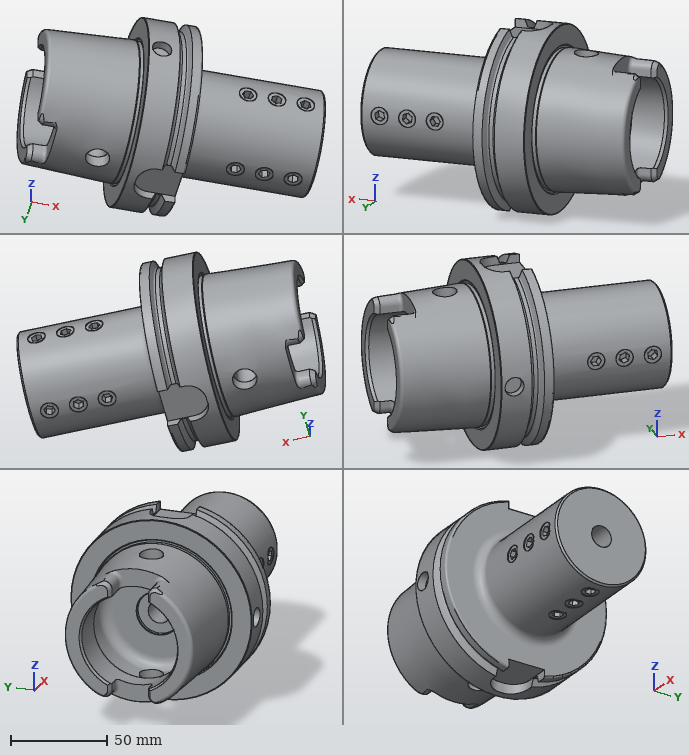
import cadquery as cq
import math


taper_length = 49.9
taper_root_radius = 37.8
taper_slope = 1 / 20
taper_rim_fillet = 2.0
relief_length = 2.5
relief_land = 0.5
relief_radius = 37.5
relief_outer_radius = 39.2
relief_depth = 0.6

flange_radius = 50.0
flange_width = 29.0
flange_front_chamfer = 0.4
flange_back_fillet = 1.0
groove_start = 16.7
groove_end = 23.5
groove_bottom_radius = 46.0
groove_wall_run = 1.65
groove_fillet = 0.9

nose_radius = 28.2
nose_length = 100.0
nose_chamfer = 1.0
neck_fillet = 5.0

bore_radius = 26.4
bore_mouth_chamfer_width = 0.9
bore_mouth_chamfer_depth = 1.7
bore_land_depth = 19.8
undercut_radius = 30.5
undercut_fillet = 6.0
bore_floor_depth = 44.8
centre_recess_radius = 12.0
centre_recess_chamfer = 0.3
centre_recess_depth = 2.0
centre_hole_radius = 6.1

drive_slot_half_width = 10.0
drive_slot_straight_height = 28.0
drive_slot_flare_radius = 4.4
drive_slot_flare_sweep = 110.0
drive_slot_flare_reach = 7.0
drive_slot_floor_fillet = 1.9
drive_slot_mouth_chamfer_width = 1.7
drive_slot_mouth_chamfer_depth = 2.7
drive_slot_inner_height = 15.0
upper_drive_slot_depth = 14.9
lower_drive_slot_depth = 10.0

cross_hole_radius = 6.3
cross_hole_x = -15.1

key_slot_width = 22.0
key_slot_start = 5.0
key_slot_corner_radius = 9.5
key_slot_floor_height = 44.0
side_hole_radius = 5.1
side_hole_x = 7.2
side_hole_depth = 5.0

screw_radius = 4.65
screw_length = 12.0
screw_recess = 0.6
screw_end_offset = 10.7
screw_pitch = 15.4
screw_count = 3
socket_across_flats = 5.0
socket_depth = 5.0
first_socket_turn = 30.0
socket_turn_step = 20.0
screw_row_angles = (0, 90, 180)

taper_end_x = -taper_length


def revolve_about_x(profile):
    return profile.close().revolve(360, (0, 0, 0), (1, 0, 0))


def ring_at(x):
    """Selects the circular edges that lie in the plane across the axis at x."""
    reach = 0.01
    span = 2 * flange_radius
    return cq.selectors.BoxSelector((x - reach, -span, -span), (x + reach, span, span), boundingbox=True)


def outer_shape():
    small_end_radius = taper_root_radius - (taper_length - relief_length) * taper_slope
    groove_bottom_start = groove_start + groove_wall_run
    groove_bottom_end = groove_end - groove_wall_run
    body = revolve_about_x(
        cq.Workplane("XY")
        .moveTo(taper_end_x, 0)
        .lineTo(taper_end_x, small_end_radius)
        .lineTo(-relief_length, taper_root_radius)
        .lineTo(-relief_length + relief_land, taper_root_radius)
        .lineTo(-relief_length + relief_land + relief_depth, relief_radius)
        .lineTo(relief_depth, relief_radius)
        .lineTo(relief_depth, relief_outer_radius - relief_depth)
        .lineTo(0, relief_outer_radius)
        .lineTo(0, flange_radius - flange_front_chamfer)
        .lineTo(flange_front_chamfer, flange_radius)
        .lineTo(groove_start, flange_radius)
        .lineTo(groove_bottom_start, groove_bottom_radius)
        .lineTo(groove_bottom_end, groove_bottom_radius)
        .lineTo(groove_end, flange_radius)
        .lineTo(flange_width, flange_radius)
        .lineTo(flange_width, nose_radius)
        .lineTo(nose_length - nose_chamfer, nose_radius)
        .lineTo(nose_length, nose_radius - nose_chamfer)
        .lineTo(nose_length, 0)
    )
    back_rim = cq.selectors.RadiusNthSelector(-1)
    neck_corner = cq.selectors.RadiusNthSelector(0)
    body = body.edges(ring_at(taper_end_x)).fillet(taper_rim_fillet)
    body = body.edges(ring_at(groove_bottom_start)).fillet(groove_fillet)
    body = body.edges(ring_at(groove_bottom_end)).fillet(groove_fillet)
    body = body.edges(ring_at(flange_width)).edges(back_rim).fillet(flange_back_fillet)
    return body.edges(ring_at(flange_width)).edges(neck_corner).fillet(neck_fillet)


def bore():
    land_x = taper_end_x + bore_land_depth
    floor_x = taper_end_x + bore_floor_depth
    recess_x = floor_x + centre_recess_depth
    return revolve_about_x(
        cq.Workplane("XY")
        .moveTo(taper_end_x, 0)
        .lineTo(taper_end_x, bore_radius + bore_mouth_chamfer_width)
        .lineTo(taper_end_x + bore_mouth_chamfer_depth, bore_radius)
        .lineTo(land_x, bore_radius)
        .lineTo(land_x, undercut_radius)
        .lineTo(floor_x - undercut_fillet, undercut_radius)
        .radiusArc((floor_x, undercut_radius - undercut_fillet), undercut_fillet)
        .lineTo(floor_x, centre_recess_radius)
        .lineTo(floor_x + centre_recess_chamfer, centre_recess_radius - centre_recess_chamfer)
        .lineTo(recess_x, centre_recess_radius - centre_recess_chamfer)
        .lineTo(recess_x, centre_hole_radius)
        .lineTo(nose_length, centre_hole_radius)
        .lineTo(nose_length, 0)
    )


def drive_slot(depth):
    """Cutter for the +Z drive slot: flaring walls, rounded floor edges and a bevelled mouth."""
    flare = drive_slot_flare_radius
    flare_y = drive_slot_half_width + flare
    flare_z = drive_slot_straight_height

    def flare_point(turn):
        angle = math.radians(turn)
        return flare_y - flare * math.cos(angle), flare_z + flare * math.sin(angle)

    flare_middle = flare_point(drive_slot_flare_sweep / 2)
    flare_end = flare_point(drive_slot_flare_sweep)
    run_direction = math.radians(drive_slot_flare_sweep - 90)
    edge_y = flare_end[0] + drive_slot_flare_reach * math.cos(run_direction)
    edge_z = flare_end[1] - drive_slot_flare_reach * math.sin(run_direction)
    mouth_plane = cq.Workplane("YZ", origin=(taper_end_x, 0, 0))

    half = (
        mouth_plane
        .moveTo(0, drive_slot_inner_height)
        .lineTo(drive_slot_half_width, drive_slot_inner_height)
        .lineTo(drive_slot_half_width, flare_z)
        .threePointArc(flare_middle, flare_end)
        .lineTo(edge_y, edge_z)
        .lineTo(edge_y, flange_radius)
        .lineTo(0, flange_radius)
        .close()
        .extrude(depth)
    )
    slot = half.union(half.mirror("XZ")).clean()
    slot = slot.faces(">X").edges().fillet(drive_slot_floor_fillet)
    plate_size = 4 * flange_radius
    plate = mouth_plane.rect(plate_size, plate_size).extrude(-drive_slot_mouth_chamfer_depth)
    mouth_edges = slot.union(plate).edges(ring_at(taper_end_x))
    return mouth_edges.chamfer(drive_slot_mouth_chamfer_width, drive_slot_mouth_chamfer_depth)


def cross_hole():
    return (
        cq.Workplane("XY", origin=(cross_hole_x, 0, 0))
        .circle(cross_hole_radius)
        .extrude(flange_radius, both=True)
    )


def key_slot():
    """Cutter for the +Z key slot: rounded front corners, open towards the nose."""
    slot_length = flange_width - key_slot_start
    return (
        cq.Workplane("XY", origin=(key_slot_start + slot_length / 2, 0, key_slot_floor_height))
        .rect(slot_length, key_slot_width)
        .extrude(flange_radius - key_slot_floor_height)
        .edges("|Z and <X")
        .fillet(key_slot_corner_radius)
    )


def side_hole():
    return (
        cq.Workplane("XZ", origin=(side_hole_x, -flange_radius + side_hole_depth, 0))
        .circle(side_hole_radius)
        .extrude(flange_radius)
    )


def screw_rod(number, outer_radius):
    """Plain round rod of one screw in the -Y row, from the screw's inner end out to outer_radius."""
    screw_x = nose_length - screw_end_offset - (screw_count - 1 - number) * screw_pitch
    inner_radius = nose_radius - screw_recess - screw_length
    return (
        cq.Workplane("XZ", origin=(screw_x, -inner_radius, 0))
        .circle(screw_radius)
        .extrude(outer_radius - inner_radius)
    )


def set_screw(number):
    rod = screw_rod(number, nose_radius - screw_recess)
    socket = (
        rod.faces("<Y")
        .workplane(centerOption="CenterOfBoundBox")
        .transformed(rotate=(0, 0, first_socket_turn + number * socket_turn_step))
        .polygon(6, socket_across_flats, circumscribed=True)
        .extrude(-socket_depth, combine=False)
    )
    return rod.cut(socket)


def turned(shape, angle):
    return shape.rotate((0, 0, 0), (1, 0, 0), angle)


holder = outer_shape().cut(bore())
holder = holder.cut(drive_slot(upper_drive_slot_depth))
holder = holder.cut(turned(drive_slot(lower_drive_slot_depth), 180))
holder = holder.cut(cross_hole())
for slot_angle in (0, 180):
    holder = holder.cut(turned(key_slot(), slot_angle))
holder = holder.cut(side_hole())

screws = []
for row_angle in screw_row_angles:
    for number in range(screw_count):
        holder = holder.cut(turned(screw_rod(number, flange_radius), row_angle))
        screws.append(turned(set_screw(number), row_angle).val())

result = cq.Compound.makeCompound([holder.val(), *screws])